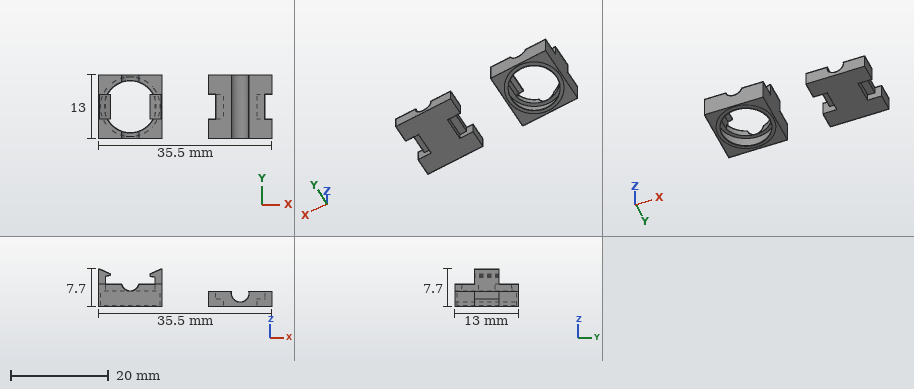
import cadquery as cq

block_width = 13.0
overall_length = 35.47
cover_offset = overall_length - block_width

channel_diameter = 3.6
channel_axis_offset = 0.4

base_height = 4.6
lip_thickness = 0.2
undercut_top = 3.15
lip_diameter = 10.6
undercut_diameter = 12.2

clip_height = 7.7
clip_width = 5.05
clip_thickness = 1.5
clip_crest_inset = 0.2
clip_outer_height = 7.63
hook_reach = 2.5
hook_shoulder_reach = 2.27
hook_shoulder_height = 6.77
hook_tip_top = 6.65
hook_tip_chamfer = 0.1
left_hook_root = 6.17
left_hook_tip_bottom = 6.45
right_hook_root = 6.0
right_hook_tip_bottom = 6.25

cover_height = 3.12
notch_depth = clip_thickness
hook_recess_depth = 3.1
hook_recess_height = cover_height / 2


def make_channel(axis_height):
    """Rod running along Y through the middle of a block."""
    return (
        cq.Workplane("XZ", origin=(0, 0, axis_height))
        .circle(channel_diameter / 2)
        .extrude(block_width, both=True)
    )


def make_bore():
    """Through hole with a wider undercut between the bottom lip and the top rim."""
    lip_radius = lip_diameter / 2
    undercut_radius = undercut_diameter / 2
    return (
        cq.Workplane("XZ")
        .moveTo(0, 0)
        .lineTo(lip_radius, 0)
        .lineTo(lip_radius, lip_thickness)
        .lineTo(undercut_radius, lip_thickness)
        .lineTo(undercut_radius, undercut_top)
        .lineTo(lip_radius, undercut_top)
        .lineTo(lip_radius, base_height)
        .lineTo(0, base_height)
        .close()
        .revolve(360, (0, 0, 0), (0, 1, 0))
    )


def make_clip(side, hook_root, hook_tip_bottom):
    """Hooked clip whose outer face is flush with the base; side is -1 or 1 along X."""
    inward_profile = [
        (0, undercut_top),
        (0, clip_outer_height),
        (clip_crest_inset, clip_height),
        (hook_shoulder_reach, hook_shoulder_height),
        (hook_reach, hook_tip_top),
        (hook_reach, hook_tip_bottom),
        (hook_shoulder_reach, hook_tip_bottom - hook_tip_chamfer),
        (clip_thickness, hook_root),
        (clip_thickness, undercut_top),
    ]
    points = [(side * (block_width / 2 - inward), height) for inward, height in inward_profile]
    return cq.Workplane("XZ").polyline(points).close().extrude(clip_width / 2, both=True)


def make_base():
    base = cq.Workplane("XY").box(block_width, block_width, base_height, centered=(True, True, False))
    base = base.cut(make_bore())
    base = base.cut(make_channel(base_height + channel_axis_offset))
    base = base.union(make_clip(-1, left_hook_root, left_hook_tip_bottom))
    return base.union(make_clip(1, right_hook_root, right_hook_tip_bottom))


def make_side_cut(side, depth, height):
    """Clip-wide cut from the underside, reaching in from the side face at -X or +X."""
    return (
        cq.Workplane("XY")
        .box(2 * depth, clip_width, height, centered=(True, True, False))
        .translate((side * block_width / 2, 0, 0))
    )


def make_cover():
    cover = cq.Workplane("XY").box(block_width, block_width, cover_height, centered=(True, True, False))
    cover = cover.cut(make_channel(cover_height - channel_axis_offset))
    for side in (-1, 1):
        cover = cover.cut(make_side_cut(side, notch_depth, cover_height))
        cover = cover.cut(make_side_cut(side, hook_recess_depth, hook_recess_height))
    return cover.translate((cover_offset, 0, 0))


base = make_base()
cover = make_cover()
result = cq.Compound.makeCompound([base.val(), cover.val()])